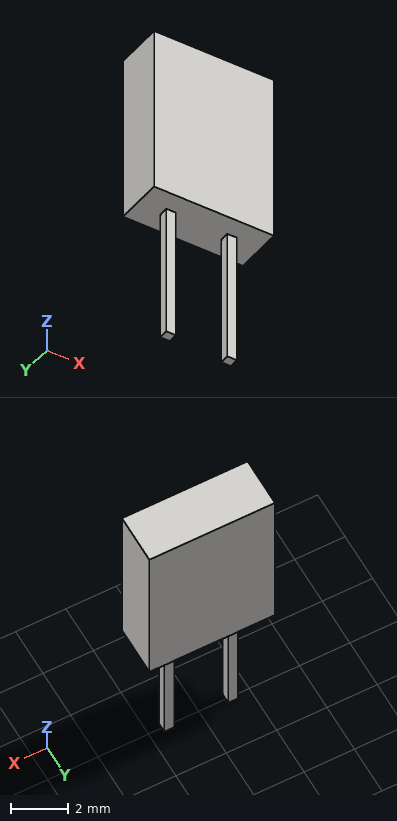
import cadquery as cq

total_height = 12.5
body_width = 5.0
body_depth = 2.0
body_height = 7.0

lead_side = 0.4
lead_pitch = 2.54
lead_length = total_height - body_height


def make_body():
    """Rectangular package with its underside at Z = 0."""
    return cq.Workplane("XY").box(body_width, body_depth, body_height, centered=(True, True, False))


def make_lead(x_position):
    """Straight square lead hanging from the underside of the body."""
    lead = cq.Workplane("XY").box(lead_side, lead_side, lead_length, centered=(True, True, False))
    return lead.translate((x_position, 0, -lead_length))


body = make_body()
leads = [make_lead(side * lead_pitch / 2) for side in (-1, 1)]

result = cq.Compound.makeCompound([body.val(), *[lead.val() for lead in leads]])